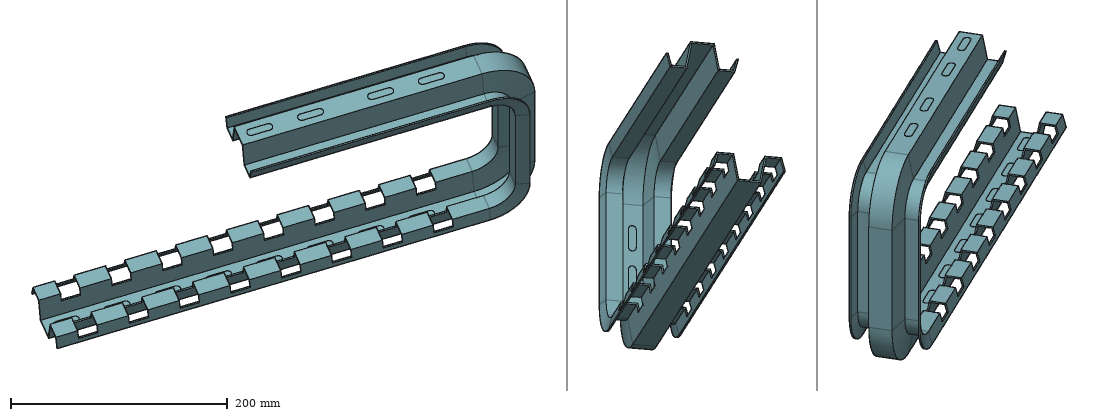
import cadquery as cq
import math

frame_height = 210.4
bend_radius = 52.0
lower_arm = 426.7
upper_arm = 235.7
leg_length = frame_height - 2 * bend_radius

sheet = 1.6
channel_width = 68.39
channel_depth = 26.5
crown_width = 22.5
lip_tip_depth = 13.25
web_splay = 11.0
lip_splay = 15.0

notch_count = 8
pitch = 50.0
notch_length = 19.0
notch_depth = 8.9
first_notch = 31.0

slot_length = 25.0
slot_width = 7.5
slot_recess = 0.2
lower_slot_count = 8
first_lower_slot = 21.5
upper_slots = (21.0, 71.0, 140.0, 190.0)
leg_slot_spacing = 40.0


def channel_profile():
    """Closed hat section at the free end of the lower arm, opening toward +Z."""
    web_slope = math.tan(math.radians(web_splay))
    lip_slope = math.tan(math.radians(lip_splay))
    web_wall = sheet / math.cos(math.radians(web_splay))
    lip_wall = sheet / math.cos(math.radians(lip_splay))
    flange_face = channel_depth - sheet
    crown_edge = crown_width / 2
    lip_tip = channel_width / 2

    def web_outside(z):
        return crown_edge + web_slope * z

    def lip_outside(z):
        return lip_tip - lip_slope * (z - lip_tip_depth)

    half = [
        (crown_edge, 0),
        (web_outside(flange_face), flange_face),
        (lip_outside(flange_face) - lip_wall, flange_face),
        (lip_tip - lip_wall, lip_tip_depth),
        (lip_tip, lip_tip_depth),
        (lip_outside(channel_depth), channel_depth),
        (web_outside(channel_depth) - web_wall, channel_depth),
        (web_outside(sheet) - web_wall, sheet),
    ]
    mirrored = [(-x, z) for x, z in reversed(half)]
    return cq.Workplane("XZ", origin=(0, -lower_arm, 0)).polyline(half + mirrored).close()


def bent_channel():
    """Hat section swept along lower arm, bend, leg, bend and upper arm."""
    mid_arc = bend_radius * math.sin(math.radians(45))
    mid_drop = bend_radius - mid_arc
    leg_top = bend_radius + leg_length
    path = (
        cq.Workplane("YZ")
        .moveTo(-lower_arm, 0)
        .lineTo(0, 0)
        .threePointArc((mid_arc, mid_drop), (bend_radius, bend_radius))
        .lineTo(bend_radius, leg_top)
        .threePointArc((mid_arc, frame_height - mid_drop), (0, frame_height))
        .lineTo(-upper_arm, frame_height)
    )
    return channel_profile().sweep(path)


def flange_notches():
    """Blocks that cut the flanges and the adjoining web and lip edges."""
    centres = [(0, -lower_arm + first_notch + i * pitch) for i in range(notch_count)]
    return (
        cq.Workplane("XY", origin=(0, 0, channel_depth - notch_depth))
        .pushPoints(centres)
        .rect(channel_width, notch_length)
        .extrude(notch_depth)
    )


def slot_cutters(plane, origin, centres):
    """Slots running along the plane's local Y, sunk one recess depth below it."""
    return (
        cq.Workplane(plane, origin=origin)
        .pushPoints([(0, c) for c in centres])
        .slot2D(slot_length, slot_width, 90)
        .extrude(-slot_recess)
    )


def crown_slots():
    """Recesses inside the lower arm and leg, and on top of the upper arm."""
    lower_centres = [-lower_arm + first_lower_slot + i * pitch for i in range(lower_slot_count)]
    upper_centres = [-upper_arm + distance for distance in upper_slots]
    leg_centres = [-leg_slot_spacing / 2, leg_slot_spacing / 2]
    lower = slot_cutters("XY", (0, 0, sheet), lower_centres)
    upper = slot_cutters("XY", (0, 0, frame_height), upper_centres)
    leg = slot_cutters("XZ", (0, bend_radius - sheet, frame_height / 2), leg_centres)
    return lower, upper, leg


result = bent_channel().cut(flange_notches())
for slots in crown_slots():
    result = result.cut(slots)